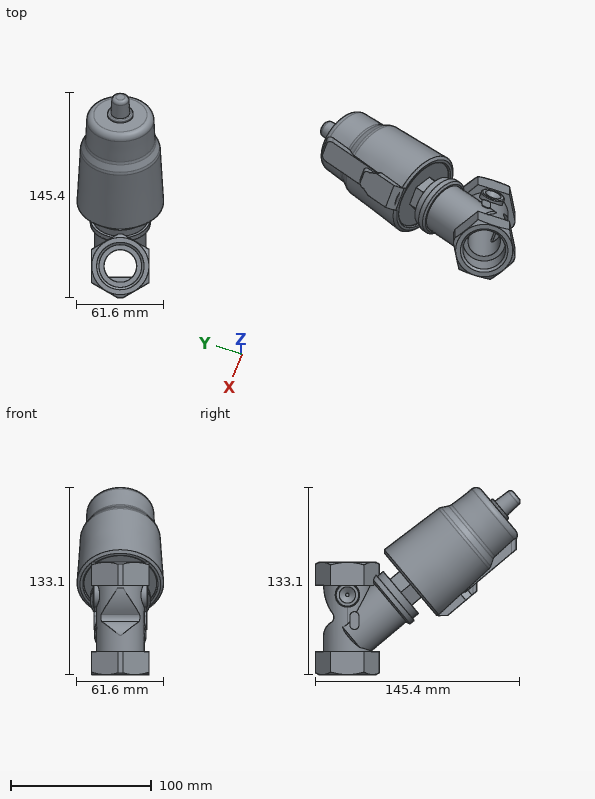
import cadquery as cq
import math


PIPE_LENGTH = 80.0
PIPE_RADIUS = 17.0
BORE_RADIUS = 23.0 / 2
HEX_ACROSS_FLATS = 41.0
HEX_LENGTH = 16.5
HEX_TRIM_Y = 22.68
HEX_CHAMFER_RADIUS = 20.3
HEX_CHAMFER_ANGLE = 30.0
THREAD_RADIUS = 30.29 / 2
THREAD_DEPTH = 16.0
THREAD_MOUTH_RADIUS = 33.7 / 2

NOTCH_TOP_Z = 61.7
NOTCH_UPPER_APEX_Z = 65.2
NOTCH_UPPER_SPAN = 27.7
NOTCH_LOWER_APEX_Z = 28.0
NOTCH_LOWER_SPAN = 12.5
NOTCH_ROOT_TOP_Z = 43.0
NOTCH_ROOT_BOTTOM_Z = 37.7
NOTCH_ROOT_Y = -9.8
NOTCH_CLEARANCE = 3.0
NOTCH_WALL = 1.9

PORT_Z = 56.7
PORT_RADIUS = 8.65
PORT_FACE_X = 19.5
PORT_CHAMFER = 0.7
PORT_HOLE_RADIUS = 5.8
PORT_CONE_DEPTH = 3.8
PORT_TIP_RADIUS = 1.25
PAD_FACE_X = 18.8
PAD_Y = 5.0
PAD_Z = 38.5
PAD_WIDTH = 6.4
PAD_LENGTH = 12.7

AXIS_ELEVATION = 40.0
AXIS_FOOT_Z = 26.7

NECK_RADIUS = 18.4
NECK_START = 0.8
NECK_CHAMFER = 1.2
FLANGE_RADIUS = 21.4
FLANGE_START = 39.1
FLANGE_UNDERSIDE_RADIUS = 19.6
FLANGE_UNDERSIDE_HEIGHT = 1.1
COLLAR_RADIUS = 39.0 / 2
COLLAR_START = 44.0
COLLAR_END = 49.5
STEM_ACROSS_FLATS = 24.0

HOUSING_RADIUS = 61.6 / 2
HOUSING_START = 58.5
HOUSING_RIM_RADIUS = 28.7
HOUSING_RIM_HEIGHT = 1.5
HOUSING_TOP = 109.3
HOUSING_TOP_RADIUS = 28.4
CAP_START = 116.0
CAP_START_RADIUS = 24.7
CAP_TOP = 140.2
CAP_TOP_RADIUS = 23.7
CAP_FILLET = 5.0
SHOULDER_FILLET = 5.0
EDGE_MARGIN = 1.0
RECESS_RADIUS = 51.7 / 2
RECESS_MOUTH_RADIUS = 26.7
RECESS_DEPTH = 1.5

KNOB_RING_RADIUS = 18.2 / 2
KNOB_RING_TOP = 142.3
KNOB_RING_FILLET = 1.0
KNOB_BASE_RADIUS = 6.9
KNOB_TIP_RADIUS = 5.9
KNOB_TIP = 156.6
KNOB_FILLET = 2.8

UPPER_BLOCK_DROP = 29.3
UPPER_BLOCK_TIP = 132.0
UPPER_BLOCK_HALF_WIDTH = 7.7
UPPER_BLOCK_FILLET = 3.5
LOWER_BLOCK_DROP = 34.0
LOWER_BLOCK_TIP = 91.4
LOWER_BLOCK_FOOT = 64.3
LOWER_BLOCK_HALF_WIDTH = 9.0
LOWER_BLOCK_NOSE_HALF_WIDTH = 6.5
LOWER_BLOCK_NOSE_START = 87.0
LOWER_BLOCK_NOSE_END = 81.3
LOWER_BLOCK_FILLET = 2.8
BLOCK_ROOT = 22.0
LEAN = math.tan(math.radians(AXIS_ELEVATION))
LEANING_EDGES = cq.selectors.ParallelDirSelector(cq.Vector(0, -1, LEAN))


def cylinder(radius, start, end):
    return cq.Workplane("XY").workplane(offset=start).circle(radius).extrude(end - start)


def hexagon(across_flats, length):
    """Hexagonal bar along Z with corners on the X axis."""
    return cq.Workplane("XY").polygon(6, across_flats / math.cos(math.pi / 6)).extrude(length)


def hex_nut():
    """Pipe-end nut with its outer, chamfered end at z = 0."""
    corner_radius = HEX_ACROSS_FLATS / 2 / math.cos(math.pi / 6)
    chamfer = (corner_radius - HEX_CHAMFER_RADIUS) * math.tan(math.radians(HEX_CHAMFER_ANGLE))
    envelope = (
        cq.Workplane("XZ")
        .moveTo(0, 0)
        .lineTo(HEX_CHAMFER_RADIUS, 0)
        .lineTo(corner_radius, chamfer)
        .lineTo(corner_radius, HEX_LENGTH)
        .lineTo(0, HEX_LENGTH)
        .close()
        .revolve(360, (0, 0, 0), (0, 1, 0))
    )
    trim = cq.Workplane("XY").box(HEX_ACROSS_FLATS, 2 * HEX_TRIM_Y, 2 * HEX_LENGTH)
    nut = hexagon(HEX_ACROSS_FLATS, HEX_LENGTH).rotate((0, 0, 0), (0, 0, 1), 90)
    return nut.intersect(envelope).intersect(trim)


def thread_recess():
    """Chamfered counterbore opening at z = 0."""
    lead_in = THREAD_MOUTH_RADIUS - THREAD_RADIUS
    return (
        cq.Workplane("XZ")
        .moveTo(0, 0)
        .lineTo(THREAD_MOUTH_RADIUS, 0)
        .lineTo(THREAD_RADIUS, lead_in)
        .lineTo(THREAD_RADIUS, THREAD_DEPTH)
        .lineTo(0, THREAD_DEPTH)
        .close()
        .revolve(360, (0, 0, 0), (0, 1, 0))
    )


def at_both_pipe_ends(feature):
    return feature.union(feature.mirror("XY").translate((0, 0, PIPE_LENGTH)))


def on_both_sides(feature):
    return feature.union(feature.mirror("YZ"))


def flank_point(z, apex_z, span):
    """(y, z) on an elliptic notch flank that starts on the pipe surface at apex_z."""
    return (-PIPE_RADIUS * math.sqrt(1 - ((z - apex_z) / span) ** 2), z)


def notch_outline():
    upper_mid_z = (NOTCH_TOP_Z + NOTCH_ROOT_TOP_Z) / 2
    lower_mid_z = (NOTCH_LOWER_APEX_Z + NOTCH_ROOT_BOTTOM_Z) / 2
    root_mid_z = (NOTCH_ROOT_TOP_Z + NOTCH_ROOT_BOTTOM_Z) / 2
    upper_start = flank_point(NOTCH_TOP_Z, NOTCH_UPPER_APEX_Z, NOTCH_UPPER_SPAN)
    upper_mid = flank_point(upper_mid_z, NOTCH_UPPER_APEX_Z, NOTCH_UPPER_SPAN)
    upper_end = flank_point(NOTCH_ROOT_TOP_Z, NOTCH_UPPER_APEX_Z, NOTCH_UPPER_SPAN)
    lower_start = flank_point(NOTCH_ROOT_BOTTOM_Z, NOTCH_LOWER_APEX_Z, NOTCH_LOWER_SPAN)
    lower_mid = flank_point(lower_mid_z, NOTCH_LOWER_APEX_Z, NOTCH_LOWER_SPAN)
    outside_y = -PIPE_RADIUS - NOTCH_CLEARANCE
    return (
        cq.Workplane("YZ", origin=(-PIPE_RADIUS, 0, 0))
        .moveTo(outside_y, NOTCH_TOP_Z)
        .lineTo(*upper_start)
        .threePointArc(upper_mid, upper_end)
        .threePointArc((NOTCH_ROOT_Y, root_mid_z), lower_start)
        .threePointArc(lower_mid, (-PIPE_RADIUS, NOTCH_LOWER_APEX_Z))
        .lineTo(outside_y, NOTCH_LOWER_APEX_Z)
        .close()
    )


def pipe_bore():
    """Through bore, narrowed behind the notch, with a thread recess at each end."""
    weir = notch_outline().extrude(2 * PIPE_RADIUS).translate((0, NOTCH_WALL, 0))
    bore = cylinder(BORE_RADIUS, 0, PIPE_LENGTH).cut(weir)
    return bore.union(at_both_pipe_ends(thread_recess()))


def port_boss():
    boss = cq.Workplane("YZ").center(0, PORT_Z).circle(PORT_RADIUS).extrude(PORT_FACE_X)
    return boss.faces(">X").chamfer(PORT_CHAMFER)


def port_hole():
    """Conical blind hole with a small flat tip."""
    tip_x = PORT_FACE_X - PORT_CONE_DEPTH
    return (
        cq.Workplane("XY")
        .moveTo(tip_x, 0)
        .lineTo(tip_x, PORT_TIP_RADIUS)
        .lineTo(PORT_FACE_X, PORT_HOLE_RADIUS)
        .lineTo(PORT_FACE_X, 0)
        .close()
        .revolve(360, (0, 0, 0), (1, 0, 0))
        .translate((0, 0, PORT_Z))
    )


def flow_pad():
    return (
        cq.Workplane("YZ", origin=(BORE_RADIUS, PAD_Y, PAD_Z))
        .slot2D(PAD_LENGTH, PAD_WIDTH, 90)
        .extrude(PAD_FACE_X - BORE_RADIUS)
    )


def neck():
    """Socket, flange and collar turned as one piece, with the hexagonal stem on top."""
    turned = (
        cq.Workplane("XZ")
        .moveTo(0, NECK_START)
        .lineTo(NECK_RADIUS - NECK_CHAMFER, NECK_START)
        .lineTo(NECK_RADIUS, NECK_START + NECK_CHAMFER)
        .lineTo(NECK_RADIUS, FLANGE_START)
        .lineTo(FLANGE_UNDERSIDE_RADIUS, FLANGE_START)
        .lineTo(FLANGE_RADIUS, FLANGE_START + FLANGE_UNDERSIDE_HEIGHT)
        .lineTo(FLANGE_RADIUS, COLLAR_START)
        .lineTo(COLLAR_RADIUS, COLLAR_START)
        .lineTo(COLLAR_RADIUS, COLLAR_END)
        .lineTo(0, COLLAR_END)
        .close()
        .revolve(360, (0, 0, 0), (0, 1, 0))
    )
    stem_end = HOUSING_START + 2 * RECESS_DEPTH
    stem = hexagon(STEM_ACROSS_FLATS, stem_end - COLLAR_END).translate((0, 0, COLLAR_END))
    return turned.union(stem)


def housing_recess():
    """Shallow recess in the lower face of the housing, with a bevelled mouth."""
    bevel = RECESS_MOUTH_RADIUS - RECESS_RADIUS
    return (
        cq.Workplane("XZ")
        .moveTo(0, HOUSING_START)
        .lineTo(RECESS_MOUTH_RADIUS, HOUSING_START)
        .lineTo(RECESS_RADIUS, HOUSING_START + bevel)
        .lineTo(RECESS_RADIUS, HOUSING_START + RECESS_DEPTH)
        .lineTo(0, HOUSING_START + RECESS_DEPTH)
        .close()
        .revolve(360, (0, 0, 0), (0, 1, 0))
    )


def housing():
    """Tapered housing with a narrower rounded cap and a shallow recess underneath."""
    body = (
        cq.Workplane("XZ")
        .moveTo(0, HOUSING_START)
        .lineTo(HOUSING_RIM_RADIUS, HOUSING_START)
        .lineTo(HOUSING_RADIUS, HOUSING_START + HOUSING_RIM_HEIGHT)
        .lineTo(HOUSING_TOP_RADIUS, HOUSING_TOP)
        .lineTo(CAP_START_RADIUS, CAP_START)
        .lineTo(CAP_TOP_RADIUS, CAP_TOP)
        .lineTo(0, CAP_TOP)
        .close()
        .revolve(360, (0, 0, 0), (0, 1, 0))
    )
    shoulder_edges = cq.selectors.BoxSelector(
        (-HOUSING_RADIUS, -HOUSING_RADIUS, HOUSING_TOP - EDGE_MARGIN),
        (HOUSING_RADIUS, HOUSING_RADIUS, CAP_START + EDGE_MARGIN),
        boundingbox=True,
    )
    body = body.faces(">Z").edges().fillet(CAP_FILLET)
    body = body.edges(shoulder_edges).fillet(SHOULDER_FILLET)
    body = body.union(upper_block()).union(lower_block())
    return body.cut(housing_recess())


def knob():
    ring = cylinder(KNOB_RING_RADIUS, CAP_TOP, KNOB_RING_TOP).faces(">Z").edges().fillet(KNOB_RING_FILLET)
    grip = (
        cq.Workplane("XZ")
        .moveTo(0, CAP_TOP)
        .lineTo(KNOB_BASE_RADIUS, CAP_TOP)
        .lineTo(KNOB_TIP_RADIUS, KNOB_TIP)
        .lineTo(0, KNOB_TIP)
        .close()
        .revolve(360, (0, 0, 0), (0, 1, 0))
        .faces(">Z")
        .edges()
        .fillet(KNOB_FILLET)
    )
    return ring.union(grip)


def leaning_end(station, drop):
    """Station at the block root of an end face that is vertical once the axis is tilted."""
    return station + (drop - BLOCK_ROOT) * LEAN


def block_prism(outline, half_width):
    """Extrude a (drop, station) outline symmetrically about the mid-plane of the actuator."""
    return cq.Workplane("YZ").polyline(outline).close().extrude(half_width, both=True)


def upper_block():
    outline = [
        (BLOCK_ROOT, LOWER_BLOCK_NOSE_END),
        (BLOCK_ROOT, leaning_end(UPPER_BLOCK_TIP, UPPER_BLOCK_DROP)),
        (UPPER_BLOCK_DROP, UPPER_BLOCK_TIP),
        (UPPER_BLOCK_DROP, LOWER_BLOCK_NOSE_END),
    ]
    block = block_prism(outline, UPPER_BLOCK_HALF_WIDTH)
    return block.edges(LEANING_EDGES).fillet(UPPER_BLOCK_FILLET)


def lower_block():
    """Block with a narrower nose at its upper end; its foot is level after tilting."""
    foot_reach = (LOWER_BLOCK_FOOT - HOUSING_START) * LEAN
    outline = [
        (BLOCK_ROOT, HOUSING_START),
        (BLOCK_ROOT, leaning_end(LOWER_BLOCK_TIP, LOWER_BLOCK_DROP)),
        (LOWER_BLOCK_DROP, LOWER_BLOCK_TIP),
        (LOWER_BLOCK_DROP, LOWER_BLOCK_FOOT),
        (LOWER_BLOCK_DROP - foot_reach, HOUSING_START),
    ]
    nose_top = leaning_end(LOWER_BLOCK_TIP, LOWER_BLOCK_DROP)
    half_plan = [
        (0, HOUSING_START),
        (LOWER_BLOCK_HALF_WIDTH, HOUSING_START),
        (LOWER_BLOCK_HALF_WIDTH, LOWER_BLOCK_NOSE_END),
        (LOWER_BLOCK_NOSE_HALF_WIDTH, LOWER_BLOCK_NOSE_START),
        (LOWER_BLOCK_NOSE_HALF_WIDTH, nose_top),
        (0, nose_top),
    ]
    plan = cq.Workplane("XZ").polyline(half_plan).close().extrude(-LOWER_BLOCK_DROP)
    block = block_prism(outline, LOWER_BLOCK_HALF_WIDTH).intersect(on_both_sides(plan))
    return block.edges(LEANING_EDGES).fillet(LOWER_BLOCK_FILLET)


def tilt(feature):
    """Lean an upright feature towards +Y and set it on the pipe axis."""
    return feature.rotate((0, 0, 0), (1, 0, 0), AXIS_ELEVATION - 90).translate((0, 0, AXIS_FOOT_Z))


valve_body = cylinder(PIPE_RADIUS, 0, PIPE_LENGTH)
valve_body = valve_body.union(at_both_pipe_ends(hex_nut()))
valve_body = valve_body.union(on_both_sides(port_boss())).union(on_both_sides(flow_pad()))

actuator = neck().union(housing()).union(knob())
valve = valve_body.union(tilt(actuator))
valve = valve.cut(notch_outline().extrude(2 * PIPE_RADIUS))
result = valve.cut(pipe_bore()).cut(on_both_sides(port_hole()))